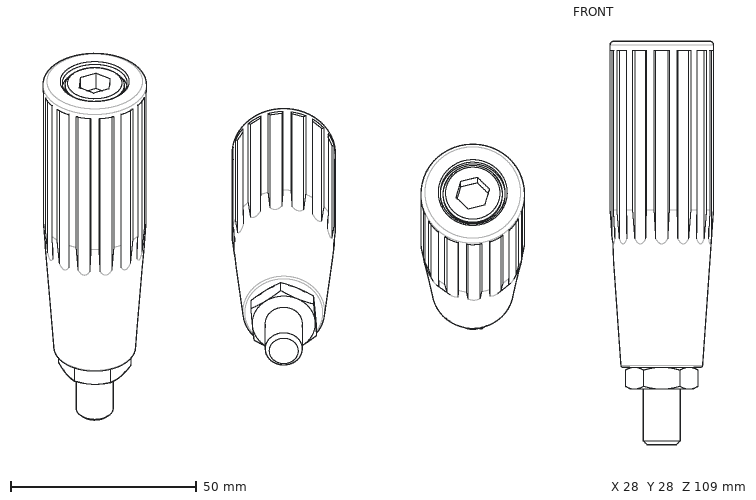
import cadquery as cq
import math

total_height = 109.0
nut_bottom = 15.0
grip_bottom = 20.9
taper_top = 63.4
flute_top = 106.5

grip_radius = 28.0 / 2
taper_angle = 4.0
top_fillet = 1.1
bottom_fillet = 0.5

flute_count = 14
flute_depth = 0.64
flute_floor_radius = grip_radius - flute_depth
flute_floor_width = 3.3
flute_mouth_width = 4.1
flute_run_out = 49.0

recess_radius = 17.5 / 2
recess_depth = 2.2
recess_chamfer = 0.5
head_radius = 16.0 / 2
head_drop = 0.5
head_chamfer = 0.7

socket_across_flats = 8.1
socket_depth = 5.0

nut_across_flats = 17.0
nut_chamfer_angle = 30.0

stud_radius = 10.0 / 2
stud_chamfer = 1.1


def hexagon_prism(across_flats, bottom, height, turn=0.0):
    """Hexagonal prism on the Z axis, with corners on the X axis before turning."""
    across_corners = across_flats / math.cos(math.radians(30))
    prism = cq.Workplane("XY").workplane(offset=bottom).polygon(6, across_corners).extrude(height)
    return prism.rotate((0, 0, 0), (0, 0, 1), turn)


def make_grip():
    """Cylinder above a cone that narrows towards the nut."""
    taper_drop = (taper_top - grip_bottom) * math.tan(math.radians(taper_angle))
    profile = (
        cq.Workplane("XZ")
        .moveTo(0, grip_bottom)
        .lineTo(grip_radius - taper_drop, grip_bottom)
        .lineTo(grip_radius, taper_top)
        .lineTo(grip_radius, total_height)
        .lineTo(0, total_height)
        .close()
    )
    grip = profile.revolve(360, (0, 0), (0, 1))
    return grip.faces(">Z").edges().fillet(top_fillet).faces("<Z").edges().fillet(bottom_fillet)


def make_flute_cutter():
    """Trapezoidal bar on the -Y side, carried past the grip surface along its walls."""
    overshoot = 1.1
    mouth_radius = math.sqrt(grip_radius**2 - (flute_mouth_width / 2) ** 2)
    wall_slope = (flute_mouth_width - flute_floor_width) / 2 / (mouth_radius - flute_floor_radius)
    outer_radius = mouth_radius + overshoot
    outer_half_width = flute_mouth_width / 2 + overshoot * wall_slope
    floor_half_width = flute_floor_width / 2
    section = [
        (-floor_half_width, -flute_floor_radius),
        (floor_half_width, -flute_floor_radius),
        (outer_half_width, -outer_radius),
        (-outer_half_width, -outer_radius),
    ]
    base = cq.Workplane("XY").workplane(offset=flute_run_out)
    return base.polyline(section).close().extrude(flute_top - flute_run_out)


def cut_flutes(body):
    cutter = make_flute_cutter()
    for index in range(flute_count):
        body = body.cut(cutter.rotate((0, 0, 0), (0, 0, 1), index * 360 / flute_count))
    return body


def cut_recess(body):
    """Round recess in the top face with a chamfered rim."""
    recess = cq.Workplane("XY").workplane(offset=total_height).circle(recess_radius).extrude(-recess_depth)
    body = body.cut(recess)
    rim = cq.selectors.RadiusNthSelector(0)
    return body.faces(">Z").edges(rim).chamfer(recess_chamfer)


def make_screw_head():
    height = recess_depth - head_drop
    base = cq.Workplane("XY").workplane(offset=total_height - recess_depth)
    return base.circle(head_radius).extrude(height).faces(">Z").edges().chamfer(head_chamfer)


def make_socket():
    head_top = total_height - head_drop
    return hexagon_prism(socket_across_flats, head_top - socket_depth, socket_depth, turn=30)


def make_nut():
    """Hexagon whose corners are turned down by a cone at both ends."""
    flat_radius = nut_across_flats / 2
    corner_radius = flat_radius / math.cos(math.radians(30))
    chamfer_height = (corner_radius - flat_radius) * math.tan(math.radians(nut_chamfer_angle))
    turned_envelope = (
        cq.Workplane("XZ")
        .moveTo(0, nut_bottom)
        .lineTo(flat_radius, nut_bottom)
        .lineTo(corner_radius, nut_bottom + chamfer_height)
        .lineTo(corner_radius, grip_bottom - chamfer_height)
        .lineTo(flat_radius, grip_bottom)
        .lineTo(0, grip_bottom)
        .close()
        .revolve(360, (0, 0), (0, 1))
    )
    return hexagon_prism(nut_across_flats, nut_bottom, grip_bottom - nut_bottom).intersect(turned_envelope)


def make_stud():
    return cq.Workplane("XY").circle(stud_radius).extrude(nut_bottom).faces("<Z").edges().chamfer(stud_chamfer)


grip = cut_recess(cut_flutes(make_grip()))
result = grip.union(make_screw_head()).cut(make_socket()).union(make_nut()).union(make_stud())